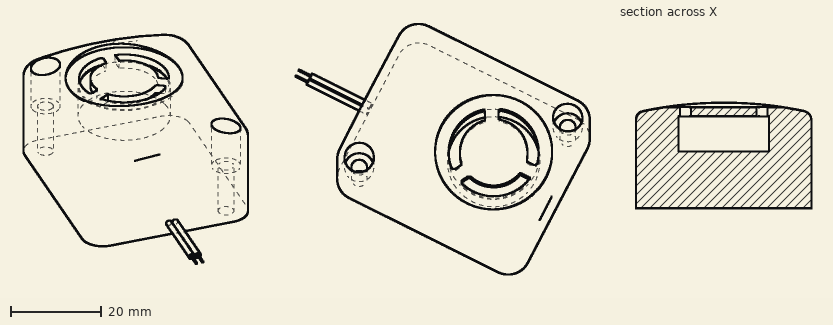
import cadquery as cq
import math

body_length = 47.0
body_width = 39.0
body_height = 23.5
corner_radius = 4.9
crown_radius = 86.3
top_edge_radius = 2.0

outlet_x = -7.5
outlet_diameter = 26.0
outlet_floor = 22.45
slot_outer_radius = 10.0
slot_inner_radius = 7.5
slot_web = 3.0
slot_depth = 2.0
slot_corner_radius = 0.65
slot_count = 3
cavity_radius = 10.25
cavity_depth = 7.8

screw_diameter = 3.5
counterbore_diameter = 6.5
counterbore_depth = 11.7
screw_x = body_length / 2 - corner_radius
screw_y = body_width / 2 - corner_radius

total_length = 64.9
wire_diameter = 1.3
wire_spacing = 1.5
wire_height = 3.0
core_diameter = 0.3
core_exposed_length = 3.0
wire_embed = 1.3


def make_housing():
    """Rounded block whose top is a cylindrical crown running along X."""
    block = (
        cq.Workplane("XY")
        .rect(body_length, body_width)
        .extrude(body_height)
        .edges("|Z")
        .fillet(corner_radius)
    )
    crown = (
        cq.Workplane("YZ")
        .center(0, body_height - crown_radius)
        .circle(crown_radius)
        .extrude(body_length / 2, both=True)
    )
    return block.intersect(crown).faces(">Z").edges().fillet(top_edge_radius)


def make_slot(middle_angle, rounded_ends):
    """Arc slot cutter; its ends run parallel to the webs between slots.

    rounded_ends lists the sides (-1 clockwise, 1 counter-clockwise) with rounded corners.
    """
    half_pitch = math.pi / slot_count

    def end_point(radius, side):
        angle = side * (half_pitch - math.asin(slot_web / 2 / radius))
        return radius * math.cos(angle), radius * math.sin(angle)

    slot = (
        cq.Workplane("XY")
        .moveTo(*end_point(slot_inner_radius, -1))
        .threePointArc((slot_inner_radius, 0), end_point(slot_inner_radius, 1))
        .lineTo(*end_point(slot_outer_radius, 1))
        .threePointArc((slot_outer_radius, 0), end_point(slot_outer_radius, -1))
        .close()
        .extrude(slot_depth)
    )
    for side in rounded_ends:
        for radius in (slot_inner_radius, slot_outer_radius):
            corner = cq.selectors.NearestToPointSelector((*end_point(radius, side), slot_depth / 2))
            slot = slot.edges("|Z").edges(corner).fillet(slot_corner_radius)
    return (
        slot.rotate((0, 0, 0), (0, 0, 1), middle_angle)
        .translate((outlet_x, 0, outlet_floor - slot_depth))
    )


def cut_sound_outlet(part):
    """Recess with slots opening into a closed round cavity below."""
    recess = (
        cq.Workplane("XY", origin=(outlet_x, 0, outlet_floor))
        .circle(outlet_diameter / 2)
        .extrude(body_height - outlet_floor)
    )
    cavity = (
        cq.Workplane("XY", origin=(outlet_x, 0, outlet_floor - slot_depth - cavity_depth))
        .circle(cavity_radius)
        .extrude(cavity_depth)
    )
    part = part.cut(recess).cut(cavity)
    for middle_angle, rounded_ends in ((0, (1,)), (120, (-1,)), (240, (-1, 1))):
        part = part.cut(make_slot(middle_angle, rounded_ends))
    return part


def cut_screw_holes(part):
    """Through holes with deep counterbores entered from the top."""
    centres = [(-screw_x, -screw_y), (screw_x, screw_y)]
    hole = cq.Workplane("XY").pushPoints(centres).circle(screw_diameter / 2).extrude(body_height)
    counterbore = (
        cq.Workplane("XY", origin=(0, 0, body_height - counterbore_depth))
        .pushPoints(centres)
        .circle(counterbore_diameter / 2)
        .extrude(counterbore_depth)
    )
    return part.cut(hole).cut(counterbore)


def make_wire(y):
    """Insulated wire with a bare core at its free end."""
    start = body_length / 2 - wire_embed
    core_end = total_length - body_length / 2
    insulation_end = core_end - core_exposed_length
    plane = cq.Workplane("YZ", origin=(start, y, wire_height))
    insulation = plane.circle(wire_diameter / 2).extrude(insulation_end - start)
    core = plane.circle(core_diameter / 2).extrude(core_end - start)
    return insulation.union(core)


result = cut_screw_holes(cut_sound_outlet(make_housing()))
for side in (-1, 1):
    result = result.union(make_wire(side * wire_spacing / 2))